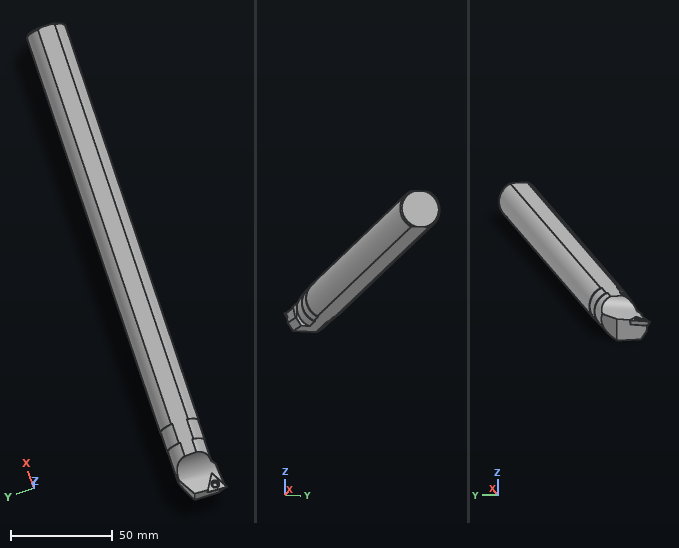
import cadquery as cq
import math

bar_length = 251.3
shank_diameter = 20.0
collar_diameter = 19.5
neck_diameter = 19.0
bar_height = 18.0
neck_end_x = 26.1
collar_end_x = 36.7
rear_chamfer = 0.8

end_face_x = 1.0
end_corner_y = 3.8
bevel_end_x = 10.5
nose_shoulder_x = 12.5
nose_shoulder_y = -11.0
nose_end_x = 14.5
nose_clearance_angle = 5.0
nose_top_y = -12.0
nose_top_z = 2.3
nose_break_y = -11.3
nose_break_z = -5.0
nose_bottom_y = -8.5

overall_width = 22.9
tip_y = shank_diameter / 2 - overall_width
floor_tilt = 7.0
floor_end_x = 8.3
relief_radius = 11.5
clearance = 25.1

insert_side = 10.3
insert_thickness = 2.3
insert_relief_angle = 11.0
insert_hole_diameter = 2.8
insert_sink_diameter = 4.0
insert_depth_x = insert_side * math.sqrt(3) / 2
insert_apex_y = insert_side / 2


def tilt_to_floor(body):
    """Place a body modelled with the tip at the origin and the floor at Z = 0."""
    return body.rotate((0, 0, 0), (1, 0, 0), floor_tilt).translate((0, tip_y, 0))


def round_section(diameter, start_x, end_x):
    return cq.Workplane("YZ", origin=(start_x, 0, 0)).circle(diameter / 2).extrude(end_x - start_x)


def make_flatted_bar():
    shank = round_section(shank_diameter, collar_end_x, bar_length).faces(">X").chamfer(rear_chamfer)
    collar = round_section(collar_diameter, neck_end_x, collar_end_x)
    neck = round_section(neck_diameter, end_face_x, neck_end_x)
    flats = cq.Workplane("XY").box(2 * bar_length, shank_diameter, bar_height)
    return shank.union(collar).union(neck).intersect(flats)


def make_nose():
    """Side bulge that carries the insert, tapering back into the neck."""
    section = (
        cq.Workplane("YZ")
        .moveTo(0, -bar_height / 2)
        .lineTo(nose_bottom_y, -bar_height / 2)
        .lineTo(nose_break_y, nose_break_z)
        .lineTo(nose_top_y, 0)
        .lineTo(nose_top_y, nose_top_z)
        .lineTo(0, nose_top_z)
        .close()
        .extrude(nose_end_x)
        .rotate((end_face_x, nose_top_y, 0), (end_face_x, nose_top_y, 1), nose_clearance_angle)
    )
    plan = (
        cq.Workplane("XY")
        .moveTo(end_face_x, 0)
        .lineTo(end_face_x, nose_top_y)
        .lineTo(nose_shoulder_x, nose_top_y)
        .lineTo(nose_shoulder_x, nose_shoulder_y)
        .lineTo(nose_end_x, -neck_diameter / 2)
        .lineTo(nose_end_x, 0)
        .close()
        .extrude(bar_height, both=True)
    )
    return section.intersect(plan)


def make_end_bevel():
    return (
        cq.Workplane("XY")
        .moveTo(end_face_x, end_corner_y)
        .lineTo(bevel_end_x, neck_diameter / 2)
        .lineTo(end_face_x, neck_diameter / 2)
        .close()
        .extrude(bar_height, both=True)
    )


def make_top_relief():
    """Flat floor that sweeps up through a concave arc."""
    relief = (
        cq.Workplane("XZ")
        .moveTo(-clearance, 0)
        .lineTo(floor_end_x, 0)
        .radiusArc((floor_end_x + relief_radius, relief_radius), -relief_radius)
        .lineTo(-clearance, relief_radius)
        .close()
        .extrude(2 * clearance, both=True)
    )
    return tilt_to_floor(relief)


def make_insert_blank():
    """Solid triangle with relieved flanks; it also shapes the seat in the head."""
    flank_inset = insert_thickness * math.tan(math.radians(insert_relief_angle))
    corner_inset = flank_inset * math.sqrt(3)
    top = [(0, 0), (insert_depth_x, insert_apex_y), (0, insert_side)]
    bottom = [
        (flank_inset, corner_inset),
        (insert_depth_x - 2 * flank_inset, insert_apex_y),
        (flank_inset, insert_side - corner_inset),
    ]
    blank = (
        cq.Workplane("XY")
        .polyline(top)
        .close()
        .workplane(offset=-insert_thickness)
        .polyline(bottom)
        .close()
        .loft(ruled=True)
    )
    return tilt_to_floor(blank)


def make_insert_hole():
    """Through hole with a conical sink at the top face."""
    hole_radius = insert_hole_diameter / 2
    sink_radius = insert_sink_diameter / 2
    sink_depth = sink_radius - hole_radius
    hole = (
        cq.Workplane("XZ")
        .moveTo(0, 0)
        .lineTo(sink_radius, 0)
        .lineTo(hole_radius, -sink_depth)
        .lineTo(hole_radius, -insert_thickness)
        .lineTo(0, -insert_thickness)
        .close()
        .revolve(360, (0, 0, 0), (0, 1, 0))
        .translate((insert_depth_x / 3, insert_apex_y, 0))
    )
    return tilt_to_floor(hole)


holder = (
    make_flatted_bar()
    .union(make_nose())
    .cut(make_end_bevel())
    .cut(make_top_relief())
    .cut(make_insert_blank())
)
insert = make_insert_blank().cut(make_insert_hole())

result = cq.Compound.makeCompound([holder.val(), insert.val()])